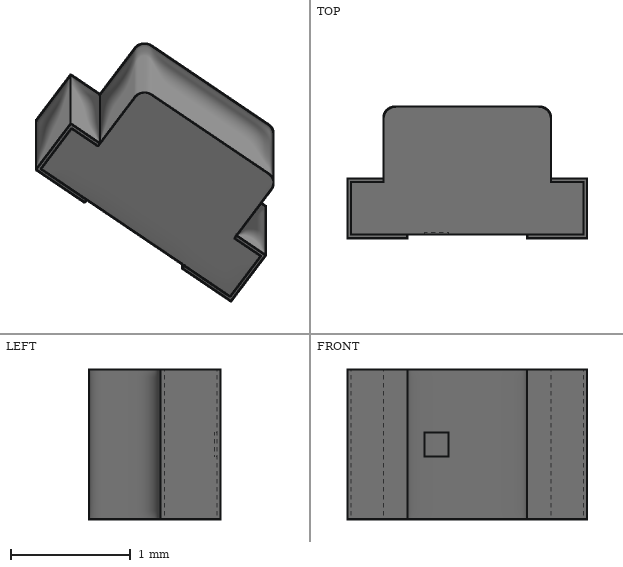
import cadquery as cq

length = 2.0
depth = 1.1
height = 1.25

base_depth = 0.5
terminal_length = 0.5
plating = 0.03

dome_length = 1.4
dome_radius = 0.1

mark_size = 0.2
mark_gap = 0.142
mark_depth = 0.02

half_length = length / 2
shoulder_length = (length - dome_length) / 2
mark_x = -half_length + terminal_length + mark_gap + mark_size / 2


def block(x_min, x_max, y_min, y_max, z_size):
    """Box between the given X and Y limits, centred on Z = 0."""
    return cq.Workplane("XY").box(x_max - x_min, y_max - y_min, z_size).translate(
        ((x_min + x_max) / 2, (y_min + y_max) / 2, 0)
    )


def make_mark():
    return block(
        mark_x - mark_size / 2, mark_x + mark_size / 2, plating, plating + mark_depth, mark_size
    )


def make_housing(mark):
    base = block(-half_length + plating, half_length - plating, plating, base_depth - plating, height)
    dome = block(-dome_length / 2, dome_length / 2, plating, depth, height)
    dome = dome.faces(">Y").edges("|Z").fillet(dome_radius)
    return base.union(dome).cut(mark)


def make_terminal(side):
    """U-shaped terminal; side is -1 for the left end and 1 for the right end."""
    left = (
        cq.Workplane("XY")
        .workplane(offset=-height / 2)
        .moveTo(-half_length, 0)
        .lineTo(-half_length + terminal_length, 0)
        .lineTo(-half_length + terminal_length, plating)
        .lineTo(-half_length + plating, plating)
        .lineTo(-half_length + plating, base_depth - plating)
        .lineTo(-half_length + shoulder_length, base_depth - plating)
        .lineTo(-half_length + shoulder_length, base_depth)
        .lineTo(-half_length, base_depth)
        .close()
        .extrude(height)
    )
    return left if side < 0 else left.mirror("YZ")


mark = make_mark()
housing = make_housing(mark)
terminals = [make_terminal(side) for side in (-1, 1)]

result = cq.Compound.makeCompound(
    [housing.val(), mark.val(), *[terminal.val() for terminal in terminals]]
)